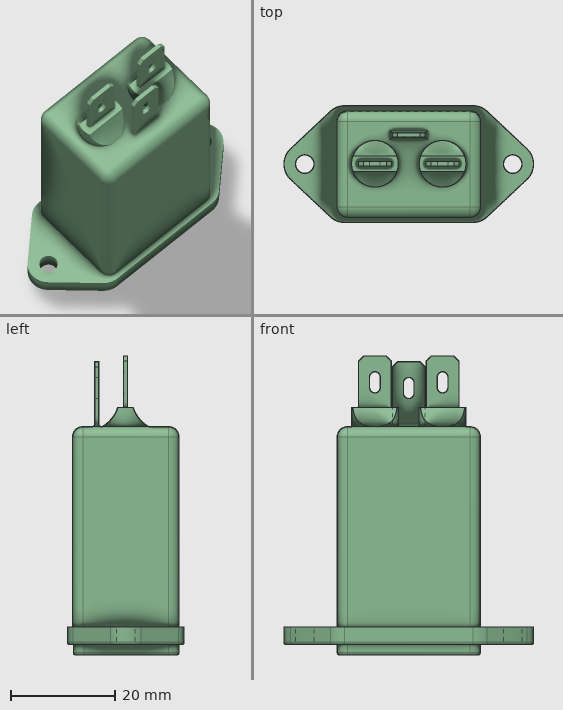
import cadquery as cq

body_width = 27.55
body_depth = 20.45
body_top = 43.95
body_round = 2.0
foot_setback = 0.2
foot_edge_round = 0.5

flange_length = 48.0
flange_depth = 22.5
flange_bottom = 2.0
flange_top = 5.45
flange_corner_radius = 4.0
flange_flat_half = 12.3
flange_edge_round = 0.5
mount_hole_diameter = 3.5

blade_width = 6.3
blade_thickness = 0.8
blade_corner = 1.0
blade_slot_length = 4.0
blade_slot_width = 2.0
blade_slot_drop = 5.05
side_blade_tip = 57.5
side_blade_x = 6.5
side_blade_y = 0.05
middle_blade_tip = 56.4
middle_blade_y = 5.6
middle_blade_root_fillet = 0.5

boss_diameter = 8.95
boss_top = 47.6
boss_ridge_half = 1.5
boss_foot_half = boss_diameter / 2
boss_scoop_radius = 6.3


def make_housing():
    """Rounded box, slightly shallower below the flange."""
    upper = (
        cq.Workplane("XY")
        .workplane(offset=flange_bottom)
        .rect(body_width, body_depth)
        .extrude(body_top - flange_bottom)
        .edges("|Z or >Z")
        .fillet(body_round)
    )
    foot = (
        cq.Workplane("XY")
        .center(0, -foot_setback / 2)
        .rect(body_width, body_depth - foot_setback)
        .extrude(flange_top)
        .edges("|Z")
        .fillet(body_round)
        .faces("<Z")
        .edges()
        .fillet(foot_edge_round)
    )
    return upper.union(foot)


def make_flange():
    """Hexagon of corner centres grown outward by the corner radius."""
    tip_x = flange_length / 2 - flange_corner_radius
    shoulder_y = flange_depth / 2 - flange_corner_radius
    corner_centres = [
        (tip_x, 0),
        (flange_flat_half, shoulder_y),
        (-flange_flat_half, shoulder_y),
        (-tip_x, 0),
        (-flange_flat_half, -shoulder_y),
        (flange_flat_half, -shoulder_y),
    ]
    plate = (
        cq.Workplane("XY")
        .workplane(offset=flange_bottom)
        .polyline(corner_centres)
        .close()
        .offset2D(flange_corner_radius, "arc")
        .extrude(flange_top - flange_bottom)
        .faces("<Z")
        .edges()
        .fillet(flange_edge_round)
    )
    holes = (
        cq.Workplane("XY")
        .pushPoints([(-tip_x, 0), (tip_x, 0)])
        .circle(mount_hole_diameter / 2)
        .extrude(flange_top)
    )
    return plate.cut(holes)


def make_blade(x, y, root, tip):
    """Flat blade with clipped tip corners and a wire slot."""
    blade = (
        cq.Workplane("XY")
        .box(blade_width, blade_thickness, tip - root, centered=(True, True, False))
        .edges("|Y and >Z")
        .chamfer(blade_corner)
    )
    slot = (
        cq.Workplane("XZ")
        .center(0, tip - root - blade_slot_drop)
        .slot2D(blade_slot_length, blade_slot_width, 90)
        .extrude(blade_thickness, both=True)
    )
    return blade.cut(slot).translate((x, y, root))


def make_boss(x):
    """Round boss scooped front and back to leave a flat ridge along X."""
    cylinder = (
        cq.Workplane("XY")
        .workplane(offset=body_top)
        .circle(boss_diameter / 2)
        .extrude(boss_top - body_top)
    )
    ridge = (
        cq.Workplane("YZ")
        .moveTo(-boss_foot_half, body_top)
        .radiusArc((-boss_ridge_half, boss_top), -boss_scoop_radius)
        .lineTo(boss_ridge_half, boss_top)
        .radiusArc((boss_foot_half, body_top), -boss_scoop_radius)
        .close()
        .extrude(boss_diameter, both=True)
    )
    return cylinder.intersect(ridge).translate((x, side_blade_y, 0))


result = make_housing().union(make_flange())

result = result.union(make_blade(0, middle_blade_y, body_top, middle_blade_tip))
root_zone = cq.selectors.BoxSelector(
    (-blade_width, middle_blade_y - blade_thickness, body_top - blade_thickness),
    (blade_width, middle_blade_y + blade_thickness, body_top + blade_thickness),
)
result = result.edges(root_zone).edges("|X or |Y").fillet(middle_blade_root_fillet)

for side_x in (-side_blade_x, side_blade_x):
    result = result.union(make_boss(side_x))
    result = result.union(make_blade(side_x, side_blade_y, boss_top, side_blade_tip))